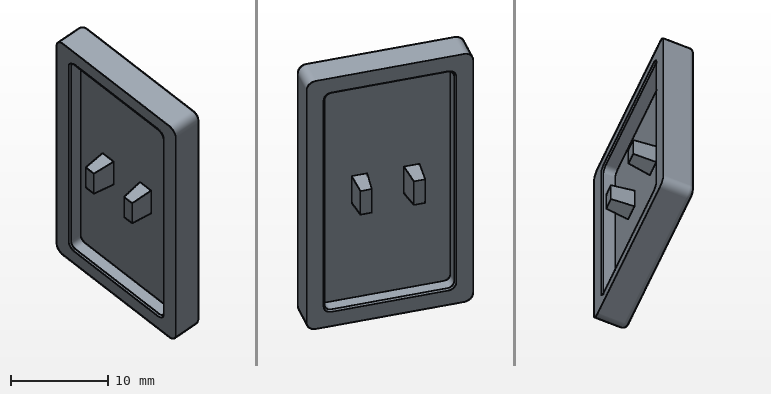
import cadquery as cq

width = 18.0
height = 31.5
plate_depth = 3.5
corner_radius = 1.0
back_edge_radius = 0.5

rim = 2.02
pocket_depth = 1.5
pocket_corner_radius = 0.7
mouth_chamfer = 0.2

peg_protrusion = 1.0
peg_base_inner = 2.0
peg_base_outer = 3.65
peg_base_height = 3.4
peg_tip_inner = 2.27
peg_tip_outer = 3.5
peg_tip_height = 3.0

open_face_y = -plate_depth / 2
floor_y = open_face_y + pocket_depth
tip_y = open_face_y - peg_protrusion


def make_plate():
    """Rounded plate with its back edge filleted."""
    plate = cq.Workplane("XY").box(width, plate_depth, height)
    return plate.edges("|Y").fillet(corner_radius).faces(">Y").edges().fillet(back_edge_radius)


def make_pocket():
    """Volume removed from the open face."""
    return (
        cq.Workplane("XY")
        .box(width - 2 * rim, pocket_depth, height - 2 * rim)
        .edges("|Y")
        .fillet(pocket_corner_radius)
        .translate((0, open_face_y + pocket_depth / 2, 0))
    )


def make_peg(side):
    """Tapered peg; side is -1 for left and +1 for right."""
    base_center = side * (peg_base_inner + peg_base_outer) / 2
    tip_center = side * (peg_tip_inner + peg_tip_outer) / 2
    return (
        cq.Workplane("XZ", origin=(0, floor_y, 0))
        .center(base_center, 0)
        .rect(peg_base_outer - peg_base_inner, peg_base_height)
        .workplane(offset=floor_y - tip_y)
        .center(tip_center - base_center, 0)
        .rect(peg_tip_outer - peg_tip_inner, peg_tip_height)
        .loft(ruled=True)
    )


def chamfer_mouth(body):
    """Break the edge where the pocket meets the open face."""
    half_x = width / 2 - rim / 2
    half_z = height / 2 - rim / 2
    margin = mouth_chamfer / 2
    mouth_edges = cq.selectors.BoxSelector(
        (-half_x, open_face_y - margin, -half_z),
        (half_x, open_face_y + margin, half_z),
    )
    return body.edges(mouth_edges).chamfer(mouth_chamfer)


result = chamfer_mouth(make_plate().cut(make_pocket()))
for side in (-1, 1):
    result = result.union(make_peg(side))